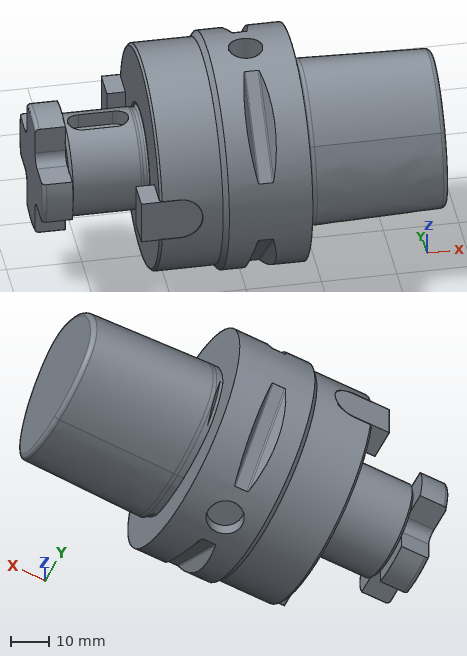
import cadquery as cq
import math

total_length = 107.0
head_length = 8.0
body_front = 28.9
key_front = 24.0
gauge_face = 69.1
flange_length = 22.1
flange_front = gauge_face - flange_length

head_diameter = 35.0
cross_arm_width = 12.0
cross_corner_radius = 3.0
head_edge_radius = 1.1

spigot_diameter = 27.0
spigot_lead_length = 0.8
spigot_lead_height = 1.1
undercut_diameter = 26.6
undercut_bore_diameter = 28.0
undercut_rim_diameter = 29.2
undercut_length = 2.0
undercut_run_in = 0.7
undercut_root_radius = 0.6
undercut_face_depth = 0.2
key_seat_length = 16.0
key_seat_width = 7.0
key_seat_floor = 9.0
key_seat_front = 9.7

body_diameter = 60.0
body_edge_chamfer = 0.6
flange_diameter = 63.0
shoulder_length = 1.4

key_width = 12.0
key_outer_offset = 29.5
key_inner_offset = 21.4
key_length = 16.3

gripper_station = gauge_face - 12.2
slot_floor_offset = 27.7
slot_floor_width = 4.0
slot_wall_angle = 25.0
slot_corner_radius = 0.4
dimple_diameter = 9.0
dimple_wall_depth = 7.0
dimple_cone_angle = 118.0
chip_hole_diameter = 10.0
chip_hole_depth = 4.6

shank_diameter = 44.0
shank_end_diameter = 41.9
lobe_height = 1.4
lobe_count = 3
spline_steps_per_lobe = 16
neck_length = 1.8
blend_length = 1.1
shank_end_radius = 1.3
relief_radius = 22.5
relief_flat_length = 0.9
relief_length = 1.7


def revolved(profile):
    """Solid of revolution about the X axis from a closed (x, radius) sketch."""
    return profile.close().revolve(360, (0, 0, 0), (1, 0, 0))


def make_core():
    """Spigot, body and flange as one turned profile."""
    spigot_radius = spigot_diameter / 2
    body_radius = body_diameter / 2
    flange_radius = flange_diameter / 2
    undercut_radius = undercut_diameter / 2
    undercut_end = body_front + undercut_face_depth
    return revolved(
        cq.Workplane("XY")
        .moveTo(head_length, 0)
        .lineTo(head_length, spigot_radius - spigot_lead_height)
        .lineTo(head_length + spigot_lead_length, spigot_radius)
        .lineTo(body_front - undercut_length, spigot_radius)
        .lineTo(body_front - undercut_length + undercut_run_in, undercut_radius)
        .lineTo(undercut_end - undercut_root_radius, undercut_radius)
        .radiusArc((undercut_end, undercut_bore_diameter / 2), -undercut_root_radius)
        .lineTo(body_front, undercut_rim_diameter / 2)
        .lineTo(body_front, body_radius - body_edge_chamfer)
        .lineTo(body_front + body_edge_chamfer, body_radius)
        .lineTo(flange_front - shoulder_length, body_radius)
        .lineTo(flange_front, flange_radius)
        .lineTo(gauge_face, flange_radius)
        .lineTo(gauge_face, 0)
    )


def make_head():
    """Round head with a rolled front edge, trimmed to a cross with filleted inner corners."""
    disc = cq.Workplane("YZ").circle(head_diameter / 2).extrude(head_length)
    disc = disc.faces("<X").edges().fillet(head_edge_radius)
    arm = cq.Workplane("YZ").rect(head_diameter, cross_arm_width).extrude(head_length)
    cross = arm.union(arm.rotate((0, 0, 0), (1, 0, 0), 90))
    reach = cross_arm_width / 2 + cross_corner_radius
    inner_corners = cq.selectors.BoxSelector((0, -reach, -reach), (head_length, reach, reach))
    cross = cross.edges("|X").edges(inner_corners).fillet(cross_corner_radius)
    return disc.intersect(cross)


def lobe_point(angle, mean_radius):
    """Point (y, z) of the polygon whose outward normal is at the given angle; one lobe points to +Z."""
    turn = lobe_count * (angle - math.pi / 2)
    support = mean_radius + lobe_height * math.cos(turn)
    slope = -lobe_count * lobe_height * math.sin(turn)
    return (
        support * math.cos(angle) - slope * math.sin(angle),
        support * math.sin(angle) + slope * math.cos(angle),
    )


def polygon_wire(station, mean_radius):
    """Closed three-lobed outline, one spline per lobe, joined at the flats between the lobes."""
    pitch = 2 * math.pi / lobe_count
    steps = spline_steps_per_lobe
    edges = []
    for lobe in range(lobe_count):
        start = math.pi / 2 + (lobe - 0.5) * pitch
        angles = [start + pitch * step / steps for step in range(steps + 1)]
        points = [cq.Vector(station, *lobe_point(angle, mean_radius)) for angle in angles]
        tangents = [cq.Vector(0, -math.sin(angle), math.cos(angle)) for angle in (angles[0], angles[-1])]
        edges.append(cq.Edge.makeSpline(points, tangents=tangents))
    return cq.Wire.assembleEdges(edges)


def lofted(start, start_radius, end, end_radius):
    """Straight-sided stretch of the polygon between two stations."""
    outlines = [polygon_wire(start, start_radius), polygon_wire(end, end_radius)]
    return cq.Workplane(cq.Solid.makeLoft(outlines, True))


def make_shank():
    """Straight neck, slight taper and rounded rear edge, relieved where the lobes meet the flange."""
    blend_start = gauge_face + neck_length
    taper_start = blend_start + blend_length
    large_radius = shank_diameter / 2
    small_radius = shank_end_diameter / 2
    taper_slope = (large_radius - small_radius) / (total_length - taper_start + blend_length / 2)
    taper_radius = large_radius - taper_slope * blend_length / 2
    neck = lofted(gauge_face, large_radius, blend_start, large_radius)
    blend = lofted(blend_start, large_radius, taper_start, taper_radius)
    taper = lofted(taper_start, taper_radius, total_length, small_radius)
    taper = taper.faces(">X").edges().fillet(shank_end_radius)
    clear_radius = large_radius + 2 * lobe_height
    relief = revolved(
        cq.Workplane("XY")
        .moveTo(gauge_face, clear_radius)
        .lineTo(gauge_face, relief_radius)
        .lineTo(gauge_face + relief_flat_length, relief_radius)
        .lineTo(gauge_face + relief_length, large_radius + lobe_height)
        .lineTo(gauge_face + relief_length, clear_radius)
    )
    return neck.cut(relief).union(blend).union(taper)


def make_drive_key(outer_offset):
    """Block with a round rear end on the +Y side, from the key base out to the given distance."""
    end_radius = key_width / 2
    straight = key_length - end_radius
    return (
        cq.Workplane("XZ", origin=(key_front, key_inner_offset, 0))
        .moveTo(0, -end_radius)
        .lineTo(straight, -end_radius)
        .threePointArc((straight + end_radius, 0), (straight, end_radius))
        .lineTo(0, end_radius)
        .close()
        .extrude(-(outer_offset - key_inner_offset))
    )


def both_sides(key):
    """The +Y key together with its copy on the -Y side."""
    return key.union(key.rotate((0, 0, 0), (1, 0, 0), 180))


def make_key_seat():
    """Round-ended feather-key seat cut into the top of the spigot."""
    return (
        cq.Workplane("XY", origin=(key_seat_front + key_seat_length / 2, 0, key_seat_floor))
        .slot2D(key_seat_length, key_seat_width)
        .extrude(spigot_diameter / 2 - key_seat_floor)
    )


def make_gripper_slots():
    """Four flat-bottomed tangential slots with leaning walls, midway between the Y and Z axes."""
    depth = flange_diameter / 2 - slot_floor_offset
    slot = (
        cq.Workplane("XY", origin=(gripper_station, 0, slot_floor_offset))
        .rect(slot_floor_width, flange_diameter)
        .extrude(depth, taper=-slot_wall_angle)
        .faces("<Z").edges("|Y").fillet(slot_corner_radius)
    )
    slots = cq.Workplane()
    for angle in (45, 135, 225, 315):
        slots = slots.add(slot.rotate((0, 0, 0), (1, 0, 0), angle))
    return slots.combine()


def make_dimple():
    """Drill-pointed orientation hole in the top of the flange."""
    radius = dimple_diameter / 2
    top = flange_diameter / 2
    wall_end = top - dimple_wall_depth
    tip = wall_end - radius / math.tan(math.radians(dimple_cone_angle / 2))
    return (
        cq.Workplane("XZ", origin=(gripper_station, 0, 0))
        .polyline([(0, tip), (radius, wall_end), (radius, top), (0, top)])
        .close()
        .revolve(360, (0, 0, 0), (0, 1, 0))
    )


def make_chip_hole():
    """Flat-bottomed hole in the underside of the flange."""
    return (
        cq.Workplane("XY", origin=(gripper_station, 0, -flange_diameter / 2))
        .circle(chip_hole_diameter / 2)
        .extrude(chip_hole_depth)
    )


core = make_core()
core = core.cut(both_sides(make_drive_key(flange_diameter / 2)))
core = core.cut(make_key_seat())
core = core.cut(make_gripper_slots())
core = core.cut(make_dimple())
core = core.cut(make_chip_hole())

result = core.union(both_sides(make_drive_key(key_outer_offset)))
result = result.union(make_head()).union(make_shank())